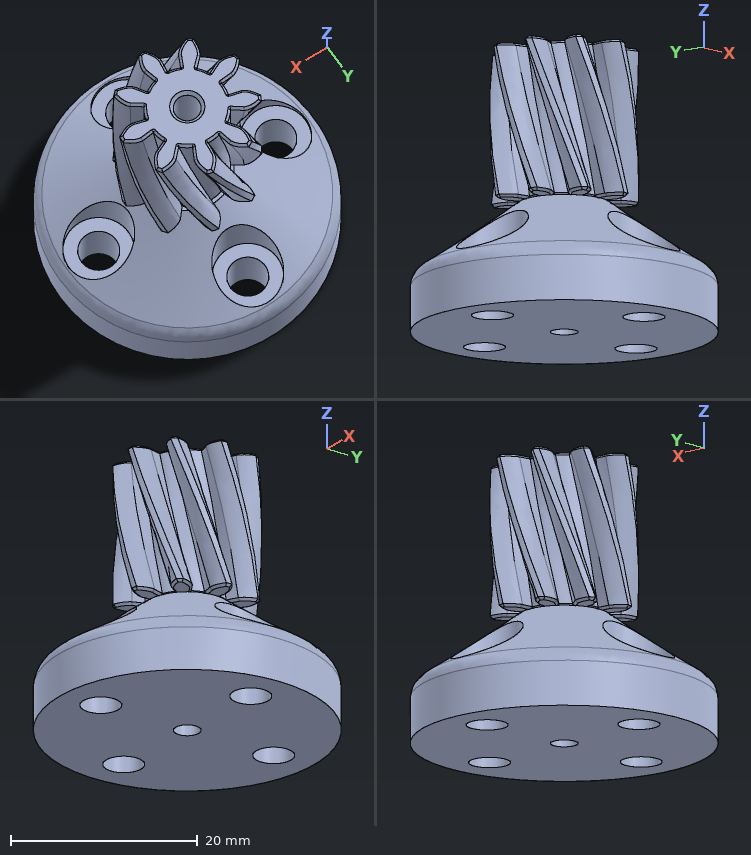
import cadquery as cq
import math

base_radius = 16.5
rim_corner_height = 6.07
rim_round = 2.0
base_height = 14.0
hub_radius = 5.0
flare_sag = 0.13

screw_count = 4
screw_circle_radius = 11.5
screw_hole_diameter = 4.5
counterbore_diameter = 7.7
counterbore_floor = 6.35

tooth_count = 9
gear_length = 17.0
pitch_radius = 6.5
tip_radius = 8.0
root_radius = 4.65
pressure_angle = math.radians(20)
twist_degrees = -44.5
top_tooth_degrees = -6.5
gear_edge_chamfer = 0.3
bevel_angle = 45

bore_diameter = 2.97
bore_chamfer = 0.4

base_circle_radius = pitch_radius * math.cos(pressure_angle)
tooth_pitch = 2 * math.pi / tooth_count
gear_top = base_height + gear_length


def polar(radius, angle):
    return (radius * math.cos(angle), radius * math.sin(angle))


def involute_turn(radius):
    """Angle swept by the involute between the base circle and the given radius."""
    contact_angle = math.acos(base_circle_radius / radius)
    return math.tan(contact_angle) - contact_angle


base_half_angle = tooth_pitch / 4 + involute_turn(pitch_radius)


def flank_point(radius, tooth_angle, side):
    """Point on the involute flank; side is -1 for the leading flank and +1 for the trailing one."""
    return polar(radius, tooth_angle + side * (base_half_angle - involute_turn(radius)))


def gear_outline():
    """Closed gear profile: radial lower flanks, involute upper flanks, arcs on tips and roots."""
    middle_radius = (base_circle_radius + tip_radius) / 2
    flank_radii = [base_circle_radius, pitch_radius, middle_radius, tip_radius]
    outline = cq.Workplane("XY").moveTo(*polar(root_radius, -base_half_angle))
    for tooth in range(tooth_count):
        angle = tooth * tooth_pitch
        next_angle = angle + tooth_pitch
        rising_flank = [flank_point(r, angle, -1) for r in flank_radii]
        falling_flank = [flank_point(r, angle, 1) for r in reversed(flank_radii)]
        outline = outline.lineTo(*rising_flank[0])
        outline = outline.spline(rising_flank[1:], includeCurrent=True)
        outline = outline.threePointArc(polar(tip_radius, angle), falling_flank[0])
        outline = outline.spline(falling_flank[1:], includeCurrent=True)
        outline = outline.lineTo(*polar(root_radius, angle + base_half_angle))
        outline = outline.threePointArc(
            polar(root_radius, angle + tooth_pitch / 2),
            polar(root_radius, next_angle - base_half_angle),
        )
    return outline.close()


def screw_cylinders(diameter, bottom):
    """Ring of upright cylinders on the screw circle, tall enough to leave the top of the base."""
    return (
        cq.Workplane("XY", origin=(0, 0, bottom))
        .polarArray(screw_circle_radius, 0, 360, screw_count)
        .circle(diameter / 2)
        .extrude(base_height)
    )


def make_base():
    """Disc with a rounded rim and a flared slope, bored and drilled for counterbored screws."""
    run = base_radius - hub_radius
    rise = base_height - rim_corner_height
    slope_length = math.hypot(run, rise)
    flare_middle = (
        (base_radius + hub_radius) / 2 - flare_sag * rise / slope_length,
        (base_height + rim_corner_height) / 2 - flare_sag * run / slope_length,
    )
    body = (
        cq.Workplane("XZ")
        .lineTo(base_radius, 0)
        .lineTo(base_radius, rim_corner_height)
        .threePointArc(flare_middle, (hub_radius, base_height))
        .lineTo(0, base_height)
        .close()
        .revolve(360, (0, 0), (0, 1))
    )
    rim = cq.selectors.NearestToPointSelector((0, 0, rim_corner_height))
    body = body.edges(rim).fillet(rim_round)

    screw_holes = screw_cylinders(screw_hole_diameter, 0)
    counterbores = screw_cylinders(counterbore_diameter, counterbore_floor)
    bore = cq.Workplane("XY").circle(bore_diameter / 2).extrude(base_height)
    return body.cut(screw_holes).cut(counterbores).cut(bore)


def make_gear():
    """Gear standing on the base: a twisted middle with a bevelled slice on each end."""
    twisted_length = gear_length - 2 * gear_edge_chamfer
    twisted_middle = gear_outline().twistExtrude(twisted_length, twist_degrees)
    bottom_bevel = gear_outline().extrude(-gear_edge_chamfer, taper=bevel_angle)
    top_bevel = (
        gear_outline()
        .extrude(gear_edge_chamfer, taper=bevel_angle)
        .rotate((0, 0, 0), (0, 0, 1), twist_degrees)
        .translate((0, 0, twisted_length))
    )
    body = twisted_middle.union(bottom_bevel).union(top_bevel)
    body = body.rotate((0, 0, 0), (0, 0, 1), top_tooth_degrees - twist_degrees)
    body = body.translate((0, 0, base_height + gear_edge_chamfer))

    bore = cq.Workplane("XY").circle(bore_diameter / 2).extrude(gear_top)
    bore_mouth = cq.Workplane(
        cq.Solid.makeCone(
            bore_diameter / 2,
            bore_diameter / 2 + bore_chamfer,
            bore_chamfer,
            cq.Vector(0, 0, gear_top - bore_chamfer),
        )
    )
    return body.cut(bore).cut(bore_mouth)


base = make_base()
gear = make_gear()
result = cq.Compound.makeCompound([base.val(), gear.val()])